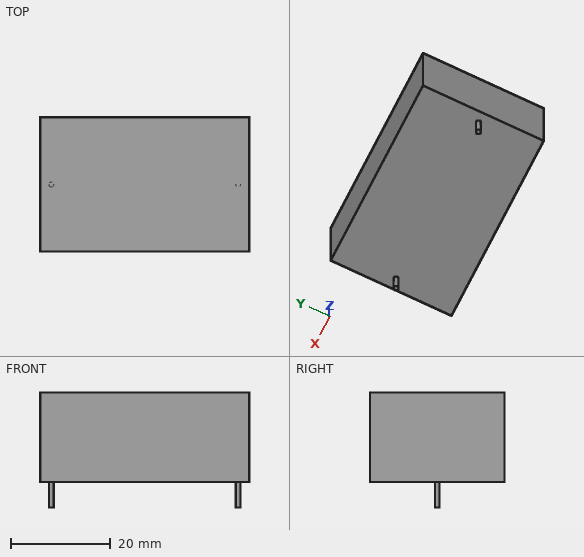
import cadquery as cq

case_length = 42.0
case_width = 27.0
case_height = 18.0

pin_diameter = 1.0
pin_length = 5.1
pin_spacing = 37.5


def make_case():
    """Plain rectangular block standing on Z = 0."""
    return cq.Workplane("XY").box(
        case_length, case_width, case_height, centered=(True, True, False)
    )


def make_pin(x):
    """Straight round pin whose top meets the underside of the case."""
    return cq.Workplane("XY").center(x, 0).circle(pin_diameter / 2).extrude(-pin_length)


case = make_case()
pins = [make_pin(side * pin_spacing / 2) for side in (-1, 1)]

result = cq.Compound.makeCompound([case.val(), *[pin.val() for pin in pins]])